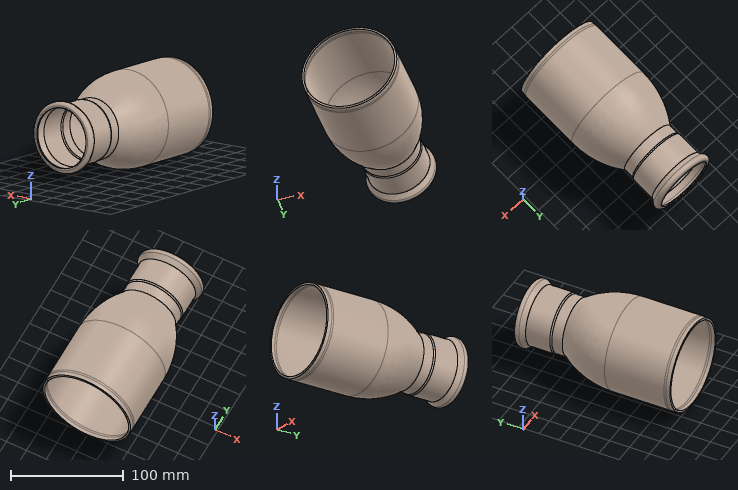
import cadquery as cq
import math


LENGTH = 163.0

TUBE_DIAMETER = 88.8
TUBE_BORE = 84.8
MOUTH_DIAMETER = 88.0
TAPER_END = 3.9
BEND_END = 5.9

DOME_START = 65.2
DOME_END = 116.0

NECK_DIAMETER = 56.0
NECK_BORE = 53.0
STEP_START = 126.5
STEP_END = 128.1
SOCKET_DIAMETER = 57.5
SOCKET_BORE = 54.5

BEAD_DIAMETER = 65.5
BEAD_RADIUS = 3.6
BEAD_CONE_ANGLE = 34.0
BEAD_OPENING = 55.0

socket_wall = (SOCKET_DIAMETER - SOCKET_BORE) / 2
mouth_drop = (TUBE_DIAMETER - MOUTH_DIAMETER) / 2
bend_corner = (TAPER_END + BEND_END) / 2
taper_drop = mouth_drop * (bend_corner - TAPER_END) / bend_corner
bead_center_radius = BEAD_DIAMETER / 2 - BEAD_RADIUS
bead_center_y = LENGTH - BEAD_RADIUS


def bead_point(crest_radius, angle):
    """Point on the bead crest, at an angle from radial that is positive toward the rim."""
    a = math.radians(angle)
    return (bead_center_radius + crest_radius * math.cos(a), bead_center_y + crest_radius * math.sin(a))


def wall_line(tube_radius, neck_radius, socket_radius, crest_radius):
    """Open (radius, Y) line of one side of the wall, from the mouth to the bead rim."""
    cone_top = bead_point(crest_radius, -BEAD_CONE_ANGLE)
    cone_drop = cone_top[0] - socket_radius
    cone_bottom_y = cone_top[1] - cone_drop / math.tan(math.radians(BEAD_CONE_ANGLE))
    return (
        cq.Workplane("XY")
        .moveTo(tube_radius - mouth_drop, 0)
        .lineTo(tube_radius - taper_drop, TAPER_END)
        .tangentArcPoint((tube_radius, BEND_END), relative=False)
        .lineTo(tube_radius, DOME_START)
        .tangentArcPoint((neck_radius, DOME_END), relative=False)
        .lineTo(neck_radius, STEP_START)
        .lineTo(socket_radius, STEP_END)
        .lineTo(socket_radius, cone_bottom_y)
        .lineTo(*cone_top)
        .threePointArc(bead_point(crest_radius, 0), bead_point(crest_radius, 90))
    )


def revolve_inside(line, rim_y):
    """Solid of revolution between the axis and a wall line that ends at height rim_y."""
    return line.lineTo(0, rim_y).lineTo(0, 0).close().revolve(360, (0, 0, 0), (0, 1, 0))


def make_fitting():
    outside = revolve_inside(
        wall_line(TUBE_DIAMETER / 2, NECK_DIAMETER / 2, SOCKET_DIAMETER / 2, BEAD_RADIUS),
        LENGTH,
    )
    cavity = revolve_inside(
        wall_line(TUBE_BORE / 2, NECK_BORE / 2, SOCKET_BORE / 2, BEAD_RADIUS - socket_wall),
        LENGTH - socket_wall,
    )
    opening = (
        cq.Workplane("XZ", origin=(0, LENGTH, 0))
        .circle(BEAD_OPENING / 2)
        .extrude(BEAD_RADIUS)
    )
    return outside.cut(cavity).cut(opening)


fitting = make_fitting()

result = cq.Compound.makeCompound([fitting.val()])